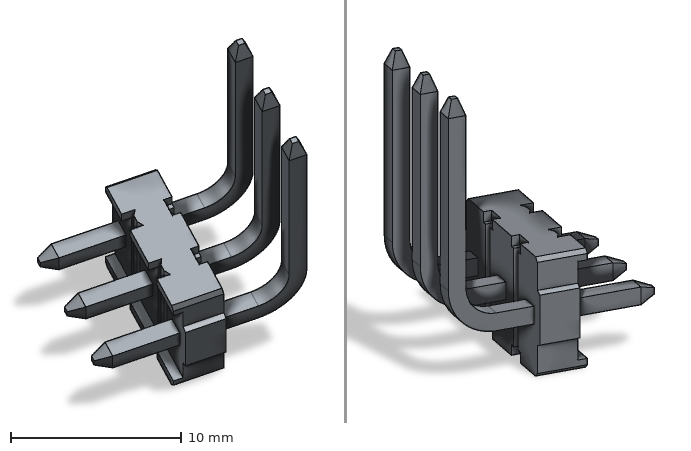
import cadquery as cq

pin_count = 3
pitch = 3.97
pin_size = 1.14
tip_length = 1.03
tip_size = 0.4
bend_inner_radius = 1.96
pin_reach = 13.45
pin_top = 18.36

housing_width = 10.05
housing_height = 7.62
housing_depth = 3.23
housing_front = 4.7
corner_chamfer = 0.25
lip_depth = 0.62
lip_height = 0.66

overall_width = 10.74
wing_outer_height = 3.2
wing_root_height = 3.53

groove_width = 1.27
groove_extra_depth = 0.22
rib_crest_width = 0.48
rear_notch_depth = 0.53
rear_slot_width = 0.62
rear_notch_height = 0.66

housing_back = housing_front + housing_depth
face_y = housing_front + lip_depth
mid_z = housing_height / 2
row_half = pitch * (pin_count - 1) / 2
pin_positions = [i * pitch - row_half for i in range(pin_count)]
groove_positions = [x + pitch / 2 for x in pin_positions[:-1]]


def box(width, y_start, y_end, z_start, z_end, x=0):
    """Block centred on x, given by its limits along Y and Z."""
    size = (width, y_end - y_start, z_end - z_start)
    base_plane = cq.Workplane("XY", origin=(x, y_start, z_start))
    return base_plane.box(*size, centered=(True, False, False))


def make_housing():
    body = box(housing_width, housing_front, housing_back, 0, housing_height)
    body = body.edges("|Y").chamfer(corner_chamfer)
    recess = box(housing_width, housing_front, face_y, lip_height, housing_height - lip_height)
    return body.cut(recess)


def make_wings():
    half_root = wing_root_height / 2
    half_outer = wing_outer_height / 2
    root_x = housing_width / 2
    outer_x = overall_width / 2
    outline = [
        (-root_x, -half_root), (root_x, -half_root), (outer_x, -half_outer), (outer_x, half_outer),
        (root_x, half_root), (-root_x, half_root), (-outer_x, half_outer), (-outer_x, -half_outer),
    ]
    front_plane = cq.Workplane("XZ", origin=(0, face_y, mid_z))
    return front_plane.polyline(outline).close().extrude(face_y - housing_back)


def make_front_groove(x):
    """Full-height groove whose floor rises to a flat-topped rib level with the recessed face."""
    half = groove_width / 2
    half_crest = rib_crest_width / 2
    corner_y = face_y + groove_extra_depth
    outline = [
        (x - half, housing_front), (x - half, corner_y), (x - half_crest, face_y),
        (x + half_crest, face_y), (x + half, corner_y), (x + half, housing_front),
    ]
    return cq.Workplane("XY").polyline(outline).close().extrude(housing_height)


def make_rear_notch(x):
    """Full-height slot in the back, widened at both ends."""
    notch_front = housing_back - rear_notch_depth
    slot = box(rear_slot_width, notch_front, housing_back, 0, housing_height, x)
    lower = box(groove_width, notch_front, housing_back, 0, rear_notch_height, x)
    upper = lower.translate((0, 0, housing_height - rear_notch_height))
    return slot.union(lower).union(upper)


def make_tip(plane):
    """Pyramid frustum that narrows from the pin section along the plane normal."""
    return plane.rect(pin_size, pin_size).workplane(offset=tip_length).rect(tip_size, tip_size).loft()


def make_pin(x):
    half = pin_size / 2
    leg_y = pin_reach - half
    bend_radius = bend_inner_radius + half
    leg_base_z = mid_z + bend_radius
    leg_end_z = pin_top - tip_length

    arm = box(pin_size, tip_length, leg_y - bend_radius, mid_z - half, mid_z + half, x)
    leg = box(pin_size, leg_y - half, leg_y + half, leg_base_z, leg_end_z, x)
    bend = (
        cq.Workplane("XZ", origin=(x, leg_y - bend_radius, mid_z))
        .rect(pin_size, pin_size)
        .revolve(90, (-half, bend_radius), (half, bend_radius))
    )
    front_tip = make_tip(cq.Workplane("XZ", origin=(x, tip_length, mid_z)))
    top_tip = make_tip(cq.Workplane("XY", origin=(x, leg_y, leg_end_z)))
    return arm.union(bend).union(leg).union(front_tip).union(top_tip)


result = make_housing().union(make_wings())
for groove_x in groove_positions:
    result = result.cut(make_front_groove(groove_x))
    result = result.cut(make_rear_notch(groove_x))
for pin_x in pin_positions:
    result = result.union(make_pin(pin_x))